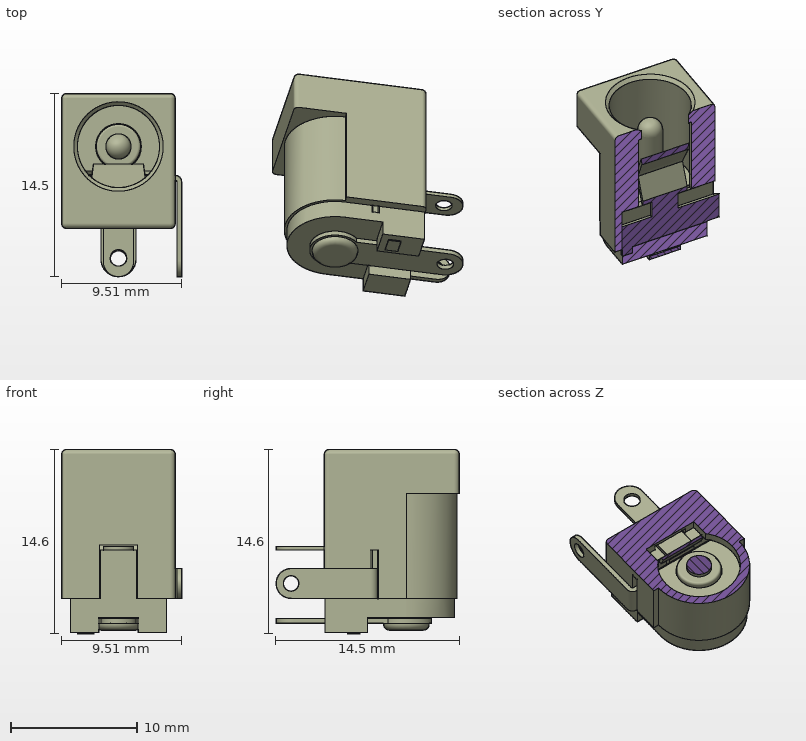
import cadquery as cq
import math


overall_height = 14.6
half_width = 4.5
rear_y = 4.19
front_y = -6.5
shell_bottom_z = 2.8
collar_bottom_z = 11.1
rear_round_radius = 4.02
edge_radius = 0.4

base_half_width = 3.81
base_front_y = -6.44
base_rear_bottom_z = 1.3
foot_bottom_z = 0.1
foot_rear_y = -3.07
tab_channel_width = 3.11
pad_length_x = 1.28
pad_length_y = 1.02
pad_x = -2.58
pad_y = -4.16

barrel_diameter = 6.5
barrel_chamfer = 0.29
floor_z = 6.63

slot_width = 3.0
slot_top_z = 7.05
plug_width = 2.88
spring_pocket_width = 4.67
spring_pocket_front_y = -3.8
spring_pocket_top_z = 13.43

tab_end_y = -10.31

pin_diameter = 2.0
pin_tip_z = 12.79
flange_diameter = 3.5
flange_recess_diameter = 3.62
flange_recess_depth = 0.4
flange_height = 0.4
flange_fillet = 0.2
rivet_diameter = 3.62
rivet_height = 0.54
rivet_fillet = 0.48
pin_plate_diameter = 4.0
pin_plate_thickness = 0.4
pin_plate_clearance = 0.07
pin_tab_width = 2.79
pin_tab_hole_diameter = 1.3
pin_tab_hole_y = tab_end_y + pin_tab_width / 2

spring_thickness = 0.3
spring_tab_width = 2.4
spring_tab_hole_diameter = 1.3
spring_tab_hole_y = -8.8
spring_heel_y = -2.34
spring_crest_y = -1.4
spring_tip_y = -3.25
crest_depth = 0.12
lower_leg_tilt = 21.0
crest_tilt = 20.0
upper_leg_tilt = 25.0
leaf_crest_width = 3.97
leaf_tip_width = 4.47

strip_thickness = 0.4
strip_rear_y = -2.28
strip_top_z = 5.18
strip_nub_bottom_z = 2.18
strip_nub_length = 0.88
strip_tongue_width = 2.4
strip_slot_rear_y = -2.2
strip_slot_front_y = -2.8
strip_slot_lead_in = 0.25
side_tab_outer_x = 5.01
side_tab_bend_radius = 0.53
side_tab_hole_diameter = 1.2
side_tab_width = strip_top_z - shell_bottom_z
side_tab_hole_y = tab_end_y + side_tab_width / 2


def box(x0, x1, y0, y1, z0, z1):
    """Box between two opposite corners."""
    return cq.Workplane("XY").box(x1 - x0, y1 - y0, z1 - z0, centered=False).translate((x0, y0, z0))


def cylinder(diameter, z0, z1):
    """Cylinder on the pin axis."""
    return cq.Workplane("XY").workplane(offset=z0).circle(diameter / 2).extrude(z1 - z0)


def solder_tab(width, hole_diameter, hole_y, inner_y, bottom_z, thickness):
    """Flat tab along -Y with a round end and a wire hole."""
    end_center_y = tab_end_y + width / 2
    return (
        box(-width / 2, width / 2, end_center_y, inner_y, bottom_z, bottom_z + thickness)
        .union(cylinder(width, bottom_z, bottom_z + thickness).translate((0, end_center_y, 0)))
        .cut(cylinder(hole_diameter, bottom_z, bottom_z + thickness).translate((0, hole_y, 0)))
    )


def make_shell():
    """Rounded outer box, its lower rear part reduced to a half cylinder."""
    outer = (
        box(-half_width, half_width, front_y, rear_y, shell_bottom_z, overall_height)
        .edges("|Z or >Z")
        .fillet(edge_radius)
    )
    rear_zone = box(-half_width, half_width, 0, rear_y, shell_bottom_z, collar_bottom_z)
    return outer.cut(rear_zone.cut(cylinder(2 * rear_round_radius, shell_bottom_z, collar_bottom_z)))


def make_base():
    """Round-backed base block with a front foot, a pin tab channel and a small pad underneath."""
    base = box(
        -base_half_width, base_half_width, base_front_y, 0, base_rear_bottom_z, shell_bottom_z
    ).union(cylinder(2 * base_half_width, base_rear_bottom_z, shell_bottom_z))
    foot = box(
        -base_half_width, base_half_width, base_front_y, foot_rear_y, foot_bottom_z, base_rear_bottom_z
    )
    channel = box(
        -tab_channel_width / 2, tab_channel_width / 2, base_front_y, foot_rear_y,
        foot_bottom_z, base_rear_bottom_z,
    )
    pad = box(
        pad_x - pad_length_x / 2, pad_x + pad_length_x / 2,
        pad_y - pad_length_y / 2, pad_y + pad_length_y / 2,
        0, foot_bottom_z,
    )
    return base.union(foot.cut(channel)).union(pad)


def make_barrel_opening():
    """Chamfered bore down to the floor, with the pocket for the spring leaf in its front wall."""
    bore = cylinder(barrel_diameter, floor_z, overall_height)
    mouth = cq.Workplane(
        cq.Solid.makeCone(
            barrel_diameter / 2, barrel_diameter / 2 + barrel_chamfer, barrel_chamfer,
            pnt=cq.Vector(0, 0, overall_height - barrel_chamfer),
        )
    )
    pocket = box(
        -spring_pocket_width / 2, spring_pocket_width / 2, spring_pocket_front_y, 0,
        floor_z, spring_pocket_top_z,
    )
    return bore.union(mouth).union(pocket)


def make_front_slot():
    """Slot through the front wall, less the plug that stands in it."""
    slot = box(
        -slot_width / 2, slot_width / 2, front_y, spring_pocket_front_y, shell_bottom_z, slot_top_z
    )
    plug = box(
        -plug_width / 2, plug_width / 2, base_front_y, spring_pocket_front_y, shell_bottom_z, floor_z
    )
    return slot.cut(plug)


def make_strip_slot():
    """Cross slot for the switch strip and its nub; its rear edge slopes on -X and steps on +X."""
    slot = box(
        -base_half_width, half_width, strip_slot_front_y, strip_slot_rear_y, shell_bottom_z, floor_z
    )
    nub_slot = box(
        -base_half_width, strip_nub_length - base_half_width, strip_slot_front_y, strip_slot_rear_y,
        strip_nub_bottom_z, shell_bottom_z,
    )
    lead_in_y = strip_slot_rear_y + strip_slot_lead_in
    lead_in_z = floor_z - strip_slot_lead_in
    slope = (
        cq.Workplane("YZ")
        .moveTo(strip_slot_rear_y, floor_z)
        .lineTo(lead_in_y, floor_z)
        .lineTo(strip_slot_rear_y, lead_in_z)
        .close()
        .extrude(-barrel_diameter / 2)
    )
    step = box(0, barrel_diameter / 2, strip_slot_rear_y, lead_in_y, lead_in_z, floor_z)
    return slot.union(nub_slot).union(slope).union(step)


def make_housing():
    """Shell and base in one, with all openings cut."""
    return (
        make_shell()
        .union(make_base())
        .cut(make_barrel_opening())
        .cut(make_front_slot())
        .cut(make_strip_slot())
        .cut(cylinder(flange_recess_diameter, floor_z - flange_recess_depth, floor_z))
        .cut(cylinder(pin_diameter, base_rear_bottom_z, floor_z))
    )


def make_center_pin():
    """Ball-ended pin with a floor flange, a tabbed plate under the base and a rivet head."""
    pin_radius = pin_diameter / 2
    plate_top_z = base_rear_bottom_z - pin_plate_clearance
    plate_bottom_z = plate_top_z - pin_plate_thickness
    rod = cylinder(pin_diameter, plate_bottom_z, pin_tip_z - pin_radius)
    ball = cq.Workplane("XZ").sphere(pin_radius).translate((0, 0, pin_tip_z - pin_radius))
    flange = (
        cylinder(flange_diameter, floor_z - flange_recess_depth, floor_z + flange_height)
        .edges(">Z")
        .fillet(flange_fillet)
    )
    plate = cylinder(pin_plate_diameter, plate_bottom_z, plate_top_z)
    tab = solder_tab(
        pin_tab_width, pin_tab_hole_diameter, pin_tab_hole_y, 0, plate_bottom_z, pin_plate_thickness
    )
    rivet = (
        cylinder(rivet_diameter, plate_bottom_z - rivet_height, plate_bottom_z)
        .edges("<Z")
        .fillet(rivet_fillet)
    )
    return rod.union(ball).union(flange).union(plate).union(tab).union(rivet)


def make_spring_leaf():
    """Bent leaf that leans into the bore and back out, trimmed to its tapering width."""
    def rise(run, tilt):
        """Height gained over a run by a leg tilted from the vertical."""
        return run / math.tan(math.radians(tilt))

    crest_z = floor_z + rise(spring_crest_y - spring_heel_y, lower_leg_tilt)
    bend_y = spring_crest_y - crest_depth
    bend_z = crest_z + rise(crest_depth, crest_tilt)
    tip_z = bend_z + rise(bend_y - spring_tip_y, upper_leg_tilt)
    leaf = (
        cq.Workplane("YZ")
        .moveTo(spring_heel_y, floor_z)
        .lineTo(spring_crest_y, crest_z)
        .lineTo(bend_y, bend_z)
        .lineTo(spring_tip_y, tip_z)
        .lineTo(spring_tip_y - spring_thickness, tip_z)
        .lineTo(bend_y - spring_thickness, bend_z)
        .lineTo(spring_crest_y - spring_thickness, crest_z)
        .lineTo(spring_heel_y - spring_thickness, floor_z)
        .close()
        .extrude(leaf_tip_width / 2, both=True)
    )
    outline = (
        cq.Workplane("XZ")
        .moveTo(-leaf_crest_width / 2, floor_z)
        .lineTo(-leaf_crest_width / 2, crest_z)
        .lineTo(-leaf_tip_width / 2, tip_z)
        .lineTo(leaf_tip_width / 2, tip_z)
        .lineTo(leaf_crest_width / 2, crest_z)
        .lineTo(leaf_crest_width / 2, floor_z)
        .close()
        .extrude(-spring_tip_y + spring_thickness)
    )
    return leaf.intersect(outline)


def make_switch_strip():
    """Strip crossing the base, with a nub, a tongue up to the spring and a bent side tab."""
    front = strip_rear_y - strip_thickness
    bend_center_x = side_tab_outer_x - side_tab_bend_radius
    bend_center_y = strip_rear_y - side_tab_bend_radius
    strip = box(-base_half_width, bend_center_x, front, strip_rear_y, shell_bottom_z, strip_top_z)
    nub = box(
        -base_half_width, strip_nub_length - base_half_width, front, strip_rear_y,
        strip_nub_bottom_z, shell_bottom_z,
    )
    tongue = box(
        -strip_tongue_width / 2, strip_tongue_width / 2, front, strip_rear_y, strip_top_z, floor_z
    )
    bend = (
        cq.Workplane("XY")
        .workplane(offset=shell_bottom_z)
        .center(bend_center_x, bend_center_y)
        .circle(side_tab_bend_radius)
        .circle(side_tab_bend_radius - strip_thickness)
        .extrude(side_tab_width)
        .intersect(
            box(
                bend_center_x, side_tab_outer_x, bend_center_y, strip_rear_y, shell_bottom_z, strip_top_z
            )
        )
    )
    side_tab = (
        solder_tab(side_tab_width, side_tab_hole_diameter, side_tab_hole_y, bend_center_y, 0, strip_thickness)
        .rotate((0, 0, 0), (0, 1, 0), 90)
        .translate((side_tab_outer_x - strip_thickness, 0, (strip_top_z + shell_bottom_z) / 2))
    )
    return strip.union(nub).union(tongue).union(bend).union(side_tab)


def make_contact():
    """Spring leaf and its solder tab, joined to the switch strip that it rests on."""
    tab = solder_tab(
        spring_tab_width, spring_tab_hole_diameter, spring_tab_hole_y, spring_heel_y, floor_z, spring_thickness
    )
    return tab.union(make_spring_leaf()).union(make_switch_strip())


housing = make_housing()
center_pin = make_center_pin()
contact = make_contact()

result = cq.Compound.makeCompound([
    housing.solids().val(),
    center_pin.solids().val(),
    contact.solids().val(),
])